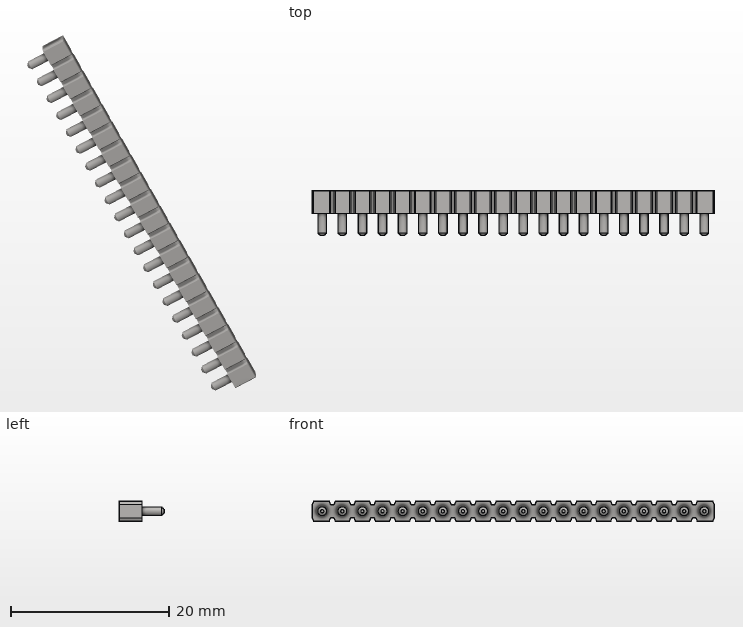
import cadquery as cq

pin_count = 20
bar_length = 50.8
pitch = bar_length / pin_count
bar_height = pitch
bar_depth = 2.9
total_depth = 5.7

groove_depth = 0.43
groove_floor_width = 0.4
slope_run = 0.18

pin_radius = 0.55
tip_radius = 0.2
tip_length = 0.33
pin_length = total_depth - bar_depth
shank_length = pin_length - tip_length


def upper_edge():
    """Points of the grooved upper edge, from the left end to the right end."""
    top = bar_height / 2
    floor = top - groove_depth
    half_floor = groove_floor_width / 2
    left = -bar_length / 2
    points = [(left, floor), (left + slope_run, top)]
    for cell in range(1, pin_count):
        boundary = left + cell * pitch
        points += [
            (boundary - half_floor - slope_run, top),
            (boundary - half_floor, floor),
            (boundary + half_floor, floor),
            (boundary + half_floor + slope_run, top),
        ]
    points += [(-left - slope_run, top), (-left, floor)]
    return points


def make_bar():
    """Bar with its front face on Y = 0, extending toward +Y."""
    upper = upper_edge()
    lower = [(x, -z) for x, z in reversed(upper)]
    return cq.Workplane("XZ").polyline(upper + lower).close().extrude(-bar_depth)


def make_pins():
    """Row of round pins pointing toward -Y, each with a tapered tip."""
    profile = [
        (0, 0),
        (pin_radius, 0),
        (pin_radius, -shank_length),
        (tip_radius, -pin_length),
        (0, -pin_length),
    ]
    pin = cq.Workplane("XY").polyline(profile).close().revolve(360, (0, 0, 0), (0, 1, 0))
    first_x = (pitch - bar_length) / 2
    pins = cq.Workplane("XY")
    for index in range(pin_count):
        pins = pins.add(pin.translate((first_x + index * pitch, 0, 0)))
    return pins.combine()


result = make_bar().union(make_pins())